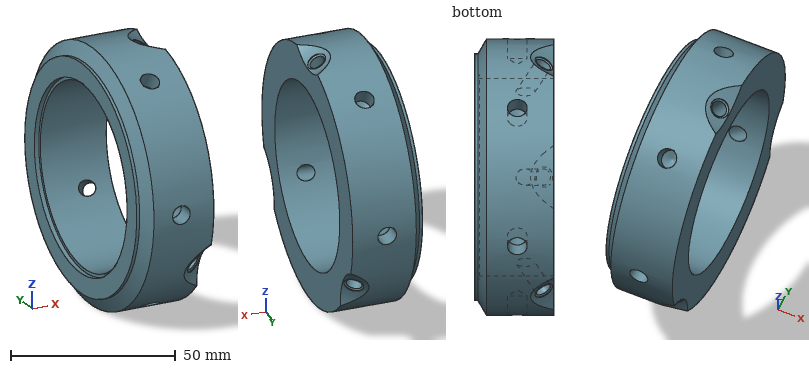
import cadquery as cq
import math

outer_diameter = 84.0
bore_diameter = 60.0
recess_diameter = 62.0
lip_diameter = 75.0
width = 24.0
lip_width = 1.0
recess_depth = 1.5
cone_angle = 60.0

spanner_count = 6
spanner_diameter = 6.0
spanner_x = 12.9
first_spanner_angle = 30.0
spanner_depth = 6.0
drill_point_angle = 118.0

pocket_count = 3
pocket_start_x = 17.0
pocket_radius = 19.1
pocket_slope = 30.0
screw_x = 21.0
screw_diameter = 4.95
screw_mouth_diameter = 6.1
countersink_angle = 120.0
first_pocket_angle = 0.0

overrun = 16.8

outer_radius = outer_diameter / 2
lip_radius = lip_diameter / 2
bore_radius = bore_diameter / 2
recess_radius = recess_diameter / 2
cone_end_x = lip_width + (outer_radius - lip_radius) / math.tan(math.radians(cone_angle))
slope_sin = math.sin(math.radians(pocket_slope))
slope_cos = math.cos(math.radians(pocket_slope))


def make_ring():
    profile = [
        (0, recess_radius),
        (0, lip_radius),
        (lip_width, lip_radius),
        (cone_end_x, outer_radius),
        (width, outer_radius),
        (width, bore_radius),
        (recess_depth, bore_radius),
        (recess_depth, recess_radius),
    ]
    return cq.Workplane("XY").polyline(profile).close().revolve(360, (0, 0, 0), (1, 0, 0))


def rod(diameter, length, start, direction):
    cylinder = cq.Solid.makeCylinder(diameter / 2, length, cq.Vector(*start), cq.Vector(*direction))
    return cq.Workplane(cylinder)


def make_spanner_hole():
    """Drilled hole with a conical bottom, at the top of the ring."""
    radius = spanner_diameter / 2
    floor_z = outer_radius - spanner_depth
    point_z = floor_z - radius / math.tan(math.radians(drill_point_angle / 2))
    top_z = outer_radius + overrun
    half_section = [(0, point_z), (radius, floor_z), (radius, top_z), (0, top_z)]
    drill = cq.Workplane("XZ").polyline(half_section).close().revolve(360, (0, 0, 0), (0, 1, 0))
    return drill.translate((spanner_x, 0, 0))


def make_pocket():
    """Sloping cylindrical scallop and its screw hole, at the top of the ring."""
    downhill = (slope_cos, 0, -slope_sin)
    outward = (slope_sin, 0, slope_cos)
    inward = (-slope_sin, 0, -slope_cos)
    scallop_start = (
        pocket_start_x + pocket_radius * outward[0] - overrun * downhill[0],
        0,
        outer_radius + pocket_radius * outward[2] - overrun * downhill[2],
    )
    scallop = rod(2 * pocket_radius, 3 * overrun, scallop_start, downhill)
    mouth = (screw_x, 0, outer_radius - (screw_x - pocket_start_x) * slope_sin / slope_cos)
    screw = rod(screw_diameter, overrun, mouth, inward)
    countersink_depth = (screw_mouth_diameter - screw_diameter) / 2
    countersink_depth /= math.tan(math.radians(countersink_angle / 2))
    countersink = cq.Workplane(
        cq.Solid.makeCone(
            screw_mouth_diameter / 2,
            screw_diameter / 2,
            countersink_depth,
            cq.Vector(*mouth),
            cq.Vector(*inward),
        )
    )
    mouth_clearance = rod(screw_mouth_diameter, overrun, mouth, outward)
    return scallop.union(screw).union(countersink).union(mouth_clearance)


def cut_around(ring, cutter, count, first_angle):
    for index in range(count):
        angle = first_angle + index * 360 / count
        ring = ring.cut(cutter.rotate((0, 0, 0), (1, 0, 0), angle))
    return ring


result = make_ring()
result = cut_around(result, make_spanner_hole(), spanner_count, first_spanner_angle)
result = cut_around(result, make_pocket(), pocket_count, first_pocket_angle)